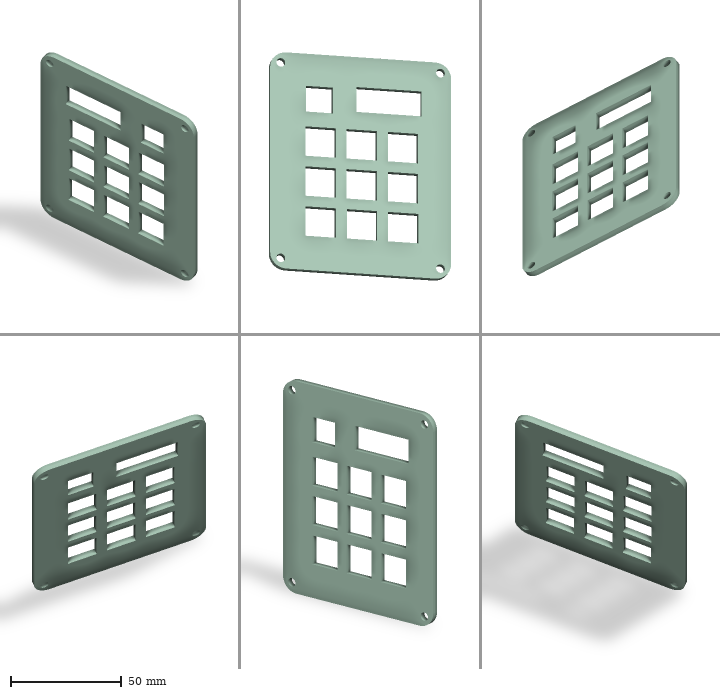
import cadquery as cq

plate_width = 83.8
plate_height = 103.1
plate_thickness = 3.0
corner_radius = 7.5

screw_diameter = 4.0
screw_inset = 4.9

key_size = 14.0
key_pitch = 19.1
key_columns = 3
key_rows = 3
keypad_center_x = -0.5
keypad_center_z = -9.2
bottom_row_shift = -0.1

display_width = 30.1
display_height = 11.9
display_x = -13.2
display_z = 31.3

button_width = 12.5
button_height = 12.3
button_x = 19.2
button_z = 30.1


def opening(width, height, x, z):
    """Block that cuts a rectangular opening right through the plate."""
    return cq.Workplane("XY").box(width, 2 * plate_thickness, height).translate((x, 0, z))


plate = (
    cq.Workplane("XY")
    .box(plate_width, plate_thickness, plate_height)
    .edges("|Y")
    .fillet(corner_radius)
)

plate = (
    plate.faces("<Y")
    .workplane(centerOption="CenterOfBoundBox")
    .rect(plate_width - 2 * screw_inset, plate_height - 2 * screw_inset, forConstruction=True)
    .vertices()
    .hole(screw_diameter)
)

plate = plate.cut(opening(display_width, display_height, display_x, display_z))
plate = plate.cut(opening(button_width, button_height, button_x, button_z))

for row in range(key_rows):
    key_z = keypad_center_z + (row - (key_rows - 1) / 2) * key_pitch
    row_shift = bottom_row_shift if row == 0 else 0
    for column in range(key_columns):
        key_x = keypad_center_x + (column - (key_columns - 1) / 2) * key_pitch + row_shift
        plate = plate.cut(opening(key_size, key_size, key_x, key_z))

result = plate